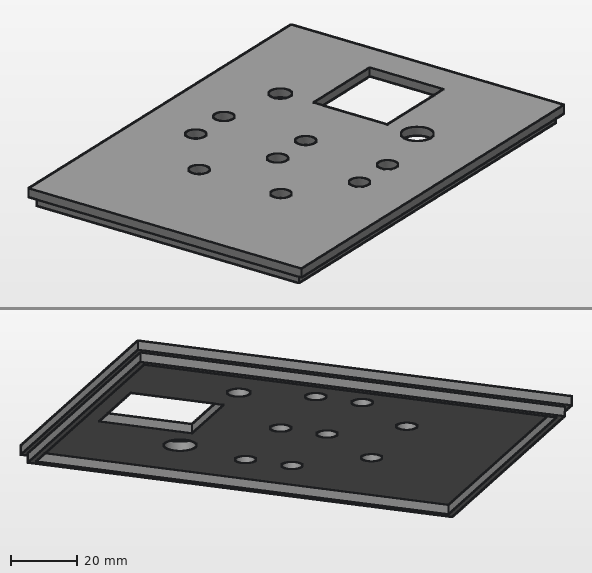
import cadquery as cq

plate_width = 100.0
plate_length = 140.0
total_thickness = 6.0
plate_thickness = total_thickness / 2

rim_side_inset = 2.0
rim_end_inset = 1.5
rim_wall = 2.0
rim_height = total_thickness - plate_thickness

window_width = 27.0
window_length = 30.0
window_center = (0.3, 43.4)

large_hole_diameter = 10.0
medium_hole_diameter = 7.1
upper_hole_offset = 25.0
upper_hole_y = 28.0

button_diameter = 6.5
button_pitch = 30.0
button_rows_y = (5.0, -10.0)
lower_row_y = -30.0


def slab(width, length, thickness, bottom):
    """Rectangular slab centred on Z, with its underside at the given height."""
    return cq.Workplane("XY").workplane(offset=bottom).rect(width, length).extrude(thickness)


def through_holes(diameter, points):
    """Cylinders that pass through the full thickness at each point."""
    return cq.Workplane("XY").pushPoints(points).circle(diameter / 2).extrude(total_thickness)


plate = slab(plate_width, plate_length, plate_thickness, rim_height)
rim_outer_width = plate_width - 2 * rim_side_inset
rim_outer_length = plate_length - 2 * rim_end_inset
rim = slab(rim_outer_width, rim_outer_length, rim_height, 0)
rim_opening = slab(
    rim_outer_width - 2 * rim_wall,
    rim_outer_length - 2 * rim_wall,
    rim_height,
    0,
)
body = plate.union(rim.cut(rim_opening))

window = slab(window_width, window_length, total_thickness, 0)
body = body.cut(window.translate((*window_center, 0)))

body = body.cut(through_holes(medium_hole_diameter, [(-upper_hole_offset, upper_hole_y)]))
body = body.cut(through_holes(large_hole_diameter, [(upper_hole_offset, upper_hole_y)]))

button_points = [(column * button_pitch, y) for y in button_rows_y for column in (-1, 0, 1)]
button_points += [(side * button_pitch / 2, lower_row_y) for side in (-1, 1)]
result = body.cut(through_holes(button_diameter, button_points))